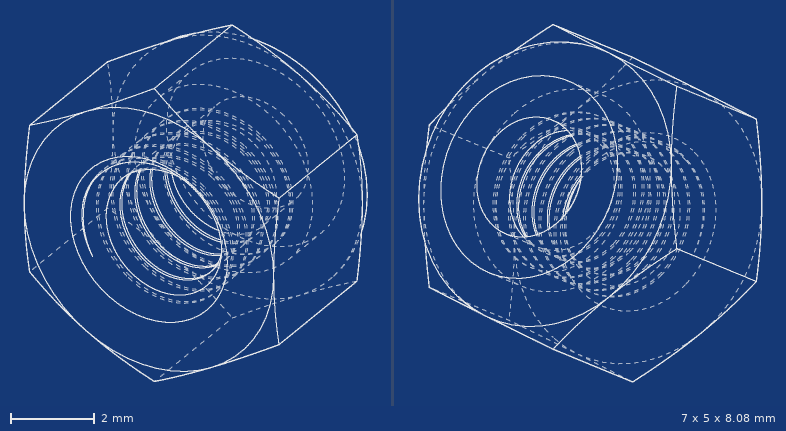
import cadquery as cq
import math

across_flats = 7.0
across_corners = across_flats / math.cos(math.radians(30))
nut_height = 5.0
hex_height = 4.16
hex_chamfer_angle = 25.0
collar_rounding = nut_height - hex_height

major_radius = 2.0
pitch = 0.7
vee_height = pitch * math.sqrt(3) / 2
root_flat = pitch / 8
crest_truncation = vee_height / 8
thread_depth = vee_height - 2 * crest_truncation
minor_radius = major_radius - thread_depth
flank_slope = math.tan(math.radians(30))
entry_radius = 2.2
entry_depth = entry_radius - minor_radius
thread_start_angle = 148.0
thread_start_depth = entry_radius - major_radius - root_flat / 2

insert_start = 3.5
insert_outer_radius = 2.5
insert_bore_radius = 1.48


def along_y(shape):
    """Lay a shape modelled along +Z down along +Y."""
    return shape.rotate((0, 0, 0), (1, 0, 0), -90)


def make_hex_prism():
    """Hexagon with corners on the Z axis once laid down, chamfered at both ends by cones."""
    prism = (
        cq.Workplane("XY")
        .polygon(6, across_corners)
        .extrude(hex_height)
        .rotate((0, 0, 0), (0, 0, 1), 90)
    )
    face_radius = across_flats / 2
    corner_radius = across_corners / 2
    chamfer_height = (corner_radius - face_radius) * math.tan(math.radians(hex_chamfer_angle))
    turned_envelope = (
        cq.Workplane("XZ")
        .moveTo(0, 0)
        .lineTo(face_radius, 0)
        .lineTo(corner_radius, chamfer_height)
        .lineTo(corner_radius, hex_height - chamfer_height)
        .lineTo(face_radius, hex_height)
        .lineTo(0, hex_height)
        .close()
        .revolve(360, (0, 0, 0), (0, 1, 0))
    )
    return prism.intersect(turned_envelope)


def make_collar():
    """Round collar on the hexagon, its rim curving inward from the hexagon to the end face."""
    outer_radius = across_flats / 2
    end_radius = outer_radius - collar_rounding
    arc_start = (outer_radius, hex_height)
    arc_end = (end_radius, nut_height)
    arc_middle = (
        end_radius + collar_rounding * math.cos(math.radians(45)),
        hex_height + collar_rounding * math.sin(math.radians(45)),
    )
    return (
        cq.Workplane("XZ")
        .moveTo(0, hex_height)
        .lineTo(*arc_start)
        .threePointArc(arc_middle, arc_end)
        .lineTo(0, nut_height)
        .close()
        .revolve(360, (0, 0, 0), (0, 1, 0))
    )


def make_bore():
    """Space removed from the nut: entry cone, thread core and insert recess."""
    return (
        cq.Workplane("XZ")
        .moveTo(0, 0)
        .lineTo(entry_radius, 0)
        .lineTo(minor_radius, entry_depth)
        .lineTo(minor_radius, insert_start)
        .lineTo(insert_outer_radius, insert_start)
        .lineTo(insert_outer_radius, nut_height)
        .lineTo(0, nut_height)
        .close()
        .revolve(360, (0, 0, 0), (0, 1, 0))
    )


def make_thread_groove():
    """Helical groove that starts one turn below the bearing face and runs out in the recess."""
    groove_base = thread_start_depth - pitch
    turns = math.ceil((insert_start + pitch / 2 - groove_base) / pitch)
    inner_radius = minor_radius - crest_truncation / 2
    root_half_width = root_flat / 2
    mouth_half_width = root_half_width + (major_radius - inner_radius) * flank_slope
    helix = cq.Wire.makeHelix(pitch, turns * pitch, major_radius)
    return (
        cq.Workplane("XZ")
        .polyline([
            (inner_radius, -mouth_half_width),
            (major_radius, -root_half_width),
            (major_radius, root_half_width),
            (inner_radius, mouth_half_width),
        ])
        .close()
        .sweep(cq.Workplane(obj=helix), isFrenet=True)
        .rotate((0, 0, 0), (0, 0, 1), thread_start_angle)
        .translate((0, 0, groove_base))
    )


def make_nut():
    blank = make_hex_prism().union(make_collar())
    return along_y(blank.cut(make_thread_groove()).cut(make_bore())).solids()


def make_insert():
    """Plain ring that fills the recess, flush with the end of the collar."""
    return along_y(
        cq.Workplane("XY")
        .workplane(offset=insert_start)
        .circle(insert_outer_radius)
        .circle(insert_bore_radius)
        .extrude(nut_height - insert_start)
    )


nut = make_nut()
insert = make_insert()
result = cq.Compound.makeCompound([nut.val(), insert.val()])